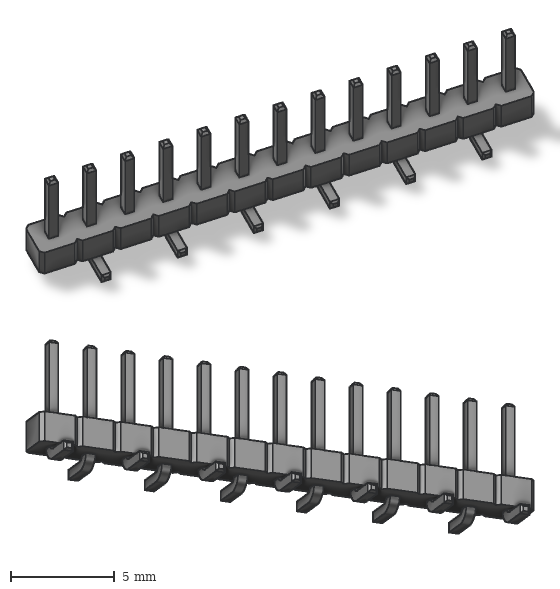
import cadquery as cq

PIN_COUNT = 13
ROW_LENGTH = 26.0
PITCH = ROW_LENGTH / PIN_COUNT

BODY_WIDTH = 1.98
BODY_HEIGHT = 1.5
BODY_BOTTOM = 0.7
CORNER_CHAMFER = 0.2

PIN_WIDTH = 0.5
PIN_TOP = 6.2
TIP_WIDTH = 0.25
TIP_LENGTH = 0.15

FOOT_REACH = 2.1
FOOT_TIP_LENGTH = 0.1
BEND_AXIS_OFFSET = 0.65
BEND_AXIS_HEIGHT = 0.75

OUTER_BEND_RADIUS = BEND_AXIS_HEIGHT
INNER_BEND_RADIUS = OUTER_BEND_RADIUS - PIN_WIDTH
FOOT_SHOULDER = FOOT_REACH - FOOT_TIP_LENGTH
ANCHOR_TOP = BODY_BOTTOM + BODY_HEIGHT / 2


def make_body_segment(y):
    """One chamfered block of the insulator; neighbouring chamfers form V-notches."""
    return (
        cq.Workplane("XY", origin=(0, y, BODY_BOTTOM))
        .rect(BODY_WIDTH, PITCH)
        .extrude(BODY_HEIGHT)
        .edges("|Z")
        .chamfer(CORNER_CHAMFER)
    )


def make_tip(base_plane, length):
    """Square frustum that narrows a pin end from full width to the tip width."""
    return (
        cq.Workplane(base_plane)
        .rect(PIN_WIDTH, PIN_WIDTH)
        .workplane(offset=length)
        .rect(TIP_WIDTH, TIP_WIDTH)
        .loft(ruled=True)
    )


def make_post(y):
    """Straight upper pin with its tapered tip."""
    shoulder = PIN_TOP - TIP_LENGTH
    shaft = (
        cq.Workplane("XY", origin=(0, y, ANCHOR_TOP))
        .rect(PIN_WIDTH, PIN_WIDTH)
        .extrude(shoulder - ANCHOR_TOP)
    )
    tip_plane = cq.Plane(origin=(0, y, shoulder), xDir=(1, 0, 0), normal=(0, 0, 1))
    return shaft.union(make_tip(tip_plane, TIP_LENGTH))


def make_foot(y, side):
    """Leg that leaves the body, bends a quarter turn and runs flat towards side * X."""
    bend_x = side * BEND_AXIS_OFFSET
    inner_x = bend_x - side * INNER_BEND_RADIUS
    outer_x = bend_x - side * OUTER_BEND_RADIUS
    shoulder_x = side * FOOT_SHOULDER
    leg = (
        cq.Workplane("XZ", origin=(0, y, 0))
        .moveTo(shoulder_x, 0)
        .lineTo(bend_x, 0)
        .tangentArcPoint((outer_x, BEND_AXIS_HEIGHT), relative=False)
        .lineTo(outer_x, ANCHOR_TOP)
        .lineTo(inner_x, ANCHOR_TOP)
        .lineTo(inner_x, BEND_AXIS_HEIGHT)
        .tangentArcPoint((bend_x, PIN_WIDTH), relative=False)
        .lineTo(shoulder_x, PIN_WIDTH)
        .close()
        .extrude(PIN_WIDTH / 2, both=True)
    )
    tip_plane = cq.Plane(
        origin=(shoulder_x, y, PIN_WIDTH / 2), xDir=(0, 1, 0), normal=(side, 0, 0)
    )
    return leg.union(make_tip(tip_plane, FOOT_TIP_LENGTH))


result = cq.Workplane("XY")
for index in range(PIN_COUNT):
    pin_y = (index - (PIN_COUNT - 1) / 2) * PITCH
    foot_side = -1 if index % 2 == 0 else 1
    result = (
        result.union(make_body_segment(pin_y))
        .union(make_post(pin_y))
        .union(make_foot(pin_y, foot_side))
    )
result = result.clean()